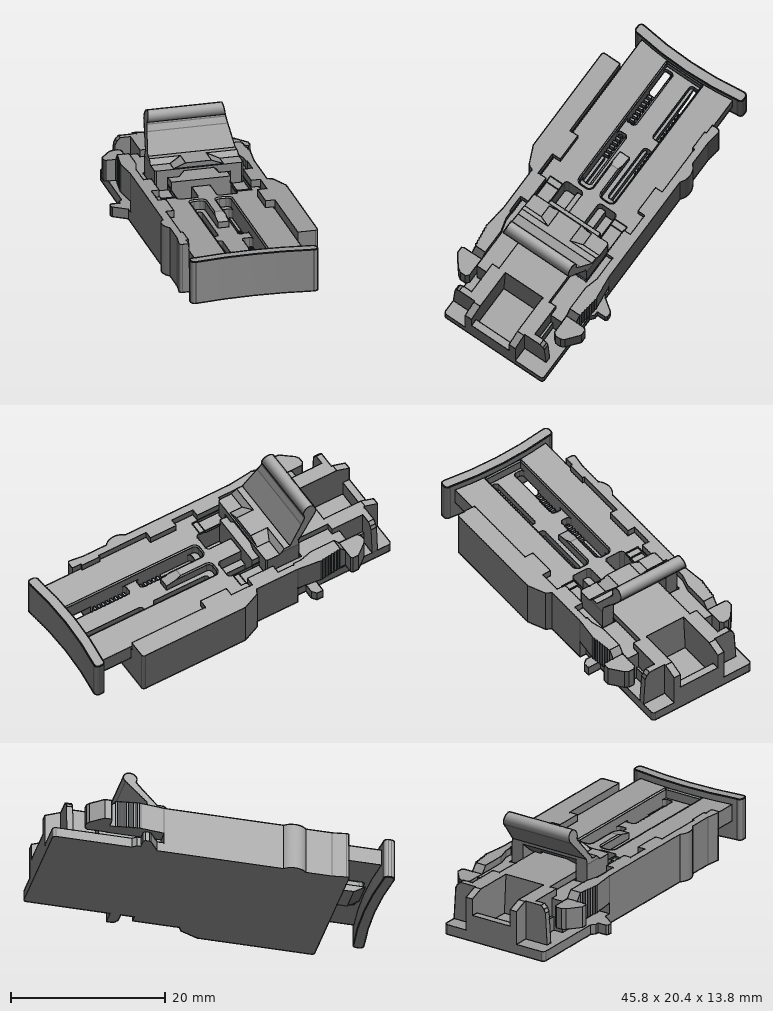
import cadquery as cq
import math

LENGTH = 45.75
HOUSING_END = 39.6
HOUSING_TOP = 6.75
SLAB_TOP = 5.8
SLAB_BOTTOM = 3.48
BASE_TOP = 1.35
ARM_BOTTOM = 2.9

BODY_START = 14.85
ARM_START = 7.6
SLAB_START = 6.5
ARM_BEND = 11.9
SLAB_HALF = 7.23
SLAB_FRONT_HALF = 6.72
WALL_SIDE = 8.32
FLANGE_SIDE = 10.15
WALL_CORNER = 0.35

CORE_HALF = 4.0
CORE_END = 19.1
RECEPTACLE_HALF = 2.97
PLATE_START = 2.1
PLATE_END = 2.95


def box(x0, x1, y0, y1, z0, z1):
    """Box between two corners."""
    return cq.Workplane("XY").box(x1 - x0, y1 - y0, z1 - z0, centered=False).translate((x0, y0, z0))


def prism(points, z0, z1):
    """Plan outline raised from z0 to z1."""
    return cq.Workplane("XY").workplane(offset=z0).polyline(points).close().extrude(z1 - z0)


def side_profile(points, half_width):
    """X-Z outline spread symmetrically across Y."""
    return cq.Workplane("XZ").polyline(points).close().extrude(half_width, both=True)


def end_profile(points, x0, x1):
    """Y-Z outline carried along X from x0 to x1."""
    return cq.Workplane("YZ").workplane(offset=x0).polyline(points).close().extrude(x1 - x0)


def both_sides(shape):
    """Shape on the +Y side together with its mirror image on the -Y side."""
    return shape.union(shape.mirror("XZ"))


BASE_PLUS_SIDE = 7.35
BASE_CORNER = 0.4
PLUS_TAB = [(11.6, 6.85), (11.6, 9.35), (12.55, 9.35), (13.05, 8.7), (13.05, 6.85)]
MINUS_TAB = [(10.45, -8.25), (11.1, -8.8), (11.6, -8.8), (11.6, -10.0), (11.85, -10.25),
             (12.4, -10.25), (12.65, -10.1), (14.0, -8.25)]


def make_base():
    plate = box(0, BODY_START, -WALL_SIDE, BASE_PLUS_SIDE, 0, BASE_TOP)
    plate = plate.edges("|Z and <X").fillet(BASE_CORNER)
    for tab in (PLUS_TAB, MINUS_TAB):
        plate = plate.union(prism(tab, 0, BASE_TOP))
    return plate


FLANGE_START = 21.15
FLANGE_FULL = 23.95
FLANGE_KNEE = (21.5, 9.05)
LOBE_START, LOBE_END = 30.85, 33.85
LOBE_TIP = -8.87
RELIEF_END = 37.32
RELIEF_SIDE = -8.2
REAR_SIDE = -8.5
TAB_SPANS = ((17.3, 21.22), (24.43, 28.35))
TAB_INNER = 6.17
GAP_WIDTH = 0.2
GAP_DEPTH = 0.45
REAR_TAB_START, REAR_TAB_END = 35.6, 38.3
REAR_TAB_INNER = -6.95


def make_housing():
    lobe_middle = (LOBE_START + LOBE_END) / 2
    outline = (
        cq.Workplane("XY")
        .moveTo(BODY_START, -WALL_SIDE)
        .lineTo(LOBE_START, -WALL_SIDE)
        .threePointArc((lobe_middle, LOBE_TIP), (LOBE_END, RELIEF_SIDE))
        .lineTo(RELIEF_END, RELIEF_SIDE)
        .lineTo(HOUSING_END, REAR_SIDE)
        .lineTo(HOUSING_END, FLANGE_SIDE)
        .lineTo(FLANGE_FULL, FLANGE_SIDE)
        .lineTo(*FLANGE_KNEE)
        .lineTo(FLANGE_START, WALL_SIDE)
        .lineTo(BODY_START, WALL_SIDE)
        .close()
    )
    housing = outline.extrude(HOUSING_TOP)
    housing = housing.edges("|Z and >X").fillet(WALL_CORNER)
    tray = box(BODY_START, HOUSING_END, -SLAB_HALF, SLAB_HALF, SLAB_TOP, HOUSING_TOP)
    gap_side = SLAB_HALF + GAP_WIDTH
    gap_bottom = SLAB_TOP - GAP_DEPTH
    gap = box(BODY_START, HOUSING_END, SLAB_HALF, gap_side, gap_bottom, HOUSING_TOP)
    housing = housing.cut(tray).cut(gap)
    for start, end in TAB_SPANS:
        tab = box(start, end, TAB_INNER, gap_side, gap_bottom, HOUSING_TOP)
        housing = housing.union(both_sides(tab))
    rear_tab = box(REAR_TAB_START, REAR_TAB_END, -SLAB_HALF, REAR_TAB_INNER, SLAB_TOP, HOUSING_TOP)
    return housing.union(rear_tab)


POST_CHAMFER_RUN = 1.9
POST_CHAMFER_DROP = 0.75
FRONT_BLOCK_HALF = 5.05
WALL_NOTCH_BOTTOM = 3.7
FRONT_WALL = 1.0
CAVITY_FLOOR = 1.2
CAVITY_DRAFT = 0.35
PLATE_HALF = 7.35
PLATE_TOP_HALF = 6.4
PLATE_SHOULDER = [(7.1, 5.8), (6.85, 6.3)]
LEDGE_TOP = 3.3
LEDGE_HALF = 5.35


def make_front():
    posts = side_profile(
        [(0, 0), (0, HOUSING_TOP - POST_CHAMFER_DROP), (POST_CHAMFER_RUN, HOUSING_TOP),
         (CORE_END, HOUSING_TOP), (CORE_END, 0)],
        CORE_HALF,
    )
    block = box(PLATE_START, ARM_START, -FRONT_BLOCK_HALF, FRONT_BLOCK_HALF, 0, HOUSING_TOP)
    plate = end_profile(
        [(0, 0), (PLATE_HALF, 0), (PLATE_HALF, BASE_TOP)] + PLATE_SHOULDER
        + [(PLATE_TOP_HALF, HOUSING_TOP), (0, HOUSING_TOP)],
        PLATE_START, PLATE_END,
    )
    plate = both_sides(plate)
    ledge = box(PLATE_END, ARM_START, -LEDGE_HALF, LEDGE_HALF, 0, LEDGE_TOP)
    slab = box(SLAB_START, BODY_START, -SLAB_FRONT_HALF, SLAB_FRONT_HALF, 0, SLAB_TOP)
    slab = slab.union(box(ARM_BEND, BODY_START, -SLAB_HALF, SLAB_HALF, ARM_BOTTOM, SLAB_TOP))
    front = posts.union(block).union(plate).union(ledge).union(slab)

    cavity = side_profile(
        [(0, HOUSING_TOP), (0, WALL_NOTCH_BOTTOM), (FRONT_WALL, WALL_NOTCH_BOTTOM),
         (FRONT_WALL, CAVITY_FLOOR), (ARM_START - CAVITY_DRAFT, CAVITY_FLOOR), (ARM_START, HOUSING_TOP)],
        RECEPTACLE_HALF,
    )
    return front.cut(cavity)


RIDGE_COUNT = 7
RIDGES_START, RIDGES_END = 8.35, 11.65
RIDGE_HEIGHT = 0.15
ARM_SIDE = 8.3
ARM_PEAK = 8.7
ARM_BEND_END = 13.7
ARM_TIP_SLOPE = 0.8
LATCH_OUTLINE = [(4.55, 7.2), (4.55, 7.95), (4.85, 8.45), (6.55, 9.85), (7.4, 9.85),
                 (ARM_START, 9.55), (ARM_START, 6.75), (4.9, 6.75)]


def arm_outline():
    """Plan outline of the +Y arm, with saw-tooth ridges on its outer face."""
    points = [(ARM_START, SLAB_FRONT_HALF), (ARM_START, ARM_SIDE)]
    pitch = (RIDGES_END - RIDGES_START) / RIDGE_COUNT
    rise = (ARM_PEAK - ARM_SIDE) / RIDGE_COUNT
    for i in range(RIDGE_COUNT):
        x = RIDGES_START + i * pitch
        y = ARM_SIDE + i * rise
        points.append((x, y))
        points.append((x + pitch / 2, y + RIDGE_HEIGHT))
    points += [(RIDGES_END, ARM_PEAK), (BODY_START, WALL_SIDE),
               (BODY_START, SLAB_HALF), (ARM_BEND_END, SLAB_HALF), (ARM_BEND, SLAB_FRONT_HALF)]
    return points


def make_arms():
    tip_cut = side_profile(
        [(ARM_START, SLAB_TOP), (ARM_START, HOUSING_TOP), (ARM_START + ARM_TIP_SLOPE, HOUSING_TOP)],
        2 * ARM_PEAK,
    )
    arm = prism(arm_outline(), ARM_BOTTOM, HOUSING_TOP).cut(tip_cut)
    latch = prism(LATCH_OUTLINE, ARM_BOTTOM, SLAB_TOP)
    return both_sides(arm.union(latch))


RIB_HALF = 1.75
RIB_BOTTOM = 2.5
RIB_SLOPE_START, RIB_SLOPE_END = 41.9, 43.45
TAIL_OVERLAP = 0.45
END_PLATE_BOTTOM = 0.85
END_PLATE_HALF = 8.55
END_PLATE_BOW = 0.6
END_PLATE_THICKNESS = 1.45
END_PLATE_FLAT = 0.7
END_PLATE_CORNER = 0.55
END_PLATE_CHAMFER = 0.1


def make_tail():
    start = HOUSING_END - TAIL_OVERLAP
    front = LENGTH - END_PLATE_THICKNESS
    tail = box(start, front, -SLAB_HALF, SLAB_HALF, SLAB_BOTTOM, SLAB_TOP)
    rib = side_profile(
        [(start, SLAB_BOTTOM), (start, RIB_BOTTOM),
         (RIB_SLOPE_START, RIB_BOTTOM), (RIB_SLOPE_END, SLAB_BOTTOM)],
        RIB_HALF,
    )
    bow_half = END_PLATE_HALF - END_PLATE_FLAT
    plate = (
        cq.Workplane("XY")
        .workplane(offset=END_PLATE_BOTTOM)
        .moveTo(front, -bow_half)
        .threePointArc((front - END_PLATE_BOW, 0), (front, bow_half))
        .lineTo(front, END_PLATE_HALF)
        .lineTo(LENGTH, END_PLATE_HALF)
        .lineTo(LENGTH, bow_half)
        .threePointArc((LENGTH - END_PLATE_BOW, 0), (LENGTH, -bow_half))
        .lineTo(LENGTH, -END_PLATE_HALF)
        .lineTo(front, -END_PLATE_HALF)
        .close()
        .extrude(HOUSING_TOP - END_PLATE_BOTTOM)
    )
    corners = plate.faces("<Y or >Y").edges("|Z")
    plate = corners.fillet(END_PLATE_CORNER).faces("<Z or >Z").chamfer(END_PLATE_CHAMFER)
    return tail.union(rib).union(plate)


RECESS_START, RECESS_END = 23.5, 43.5
RECESS_HALF = 2.75
RECESS_CHAMFER = 0.2
RECESS_FLOOR = 4.45
RECESS_CORNER = 0.6
TONGUE_HALF = 0.75
TONGUE_END = 30.2
TONGUE_RAMP = 27.9
TONGUE_TIP_HEIGHT = 5.25
SLOT_SPANS = ((24.4, 32.75), (34.35, 43.15))
SLOT_INNER, SLOT_OUTER = 1.33, RECESS_HALF
SLOT_CORNER = 0.4
SLOT_BOTTOM = 2.3
RACK_INNER = 2.35
TOOTH_INNER = 2.1
RACK_TOP = 3.2
RACK_TEETH_START = 29.05
TOOTH_PITCH = 0.65


def make_recess():
    """E-shaped recess around the tongue, with a bevelled rim and a ramp on the tongue tip."""
    recess = prism(
        [(RECESS_START, RECESS_HALF), (RECESS_END, RECESS_HALF), (RECESS_END, -RECESS_HALF),
         (RECESS_START, -RECESS_HALF), (RECESS_START, -TONGUE_HALF), (TONGUE_END, -TONGUE_HALF),
         (TONGUE_END, TONGUE_HALF), (RECESS_START, TONGUE_HALF)],
        RECESS_FLOOR, SLAB_TOP - RECESS_CHAMFER,
    )
    recess = recess.edges("|Z and <X").fillet(RECESS_CORNER)
    rim = recess.faces(">Z").wires().toPending().extrude(RECESS_CHAMFER, combine=False, taper=-45)
    ramp = side_profile(
        [(TONGUE_RAMP, SLAB_TOP), (TONGUE_END, SLAB_TOP), (TONGUE_END, TONGUE_TIP_HEIGHT)],
        TONGUE_HALF,
    )
    return recess.union(rim).union(ramp)


def make_slots():
    """Slots beside the central rib; each narrows below the slab where the rib stays."""
    rib = box(RECESS_START, RECESS_END, 0, RIB_HALF, 0, SLAB_BOTTOM)
    slots = cq.Workplane("XY")
    for start, end in SLOT_SPANS:
        slot = box(start, end, SLOT_INNER, SLOT_OUTER, SLOT_BOTTOM, SLAB_TOP)
        slots = slots.add(slot.edges("|Z").fillet(SLOT_CORNER).cut(rib))
    return both_sides(slots.combine())


def make_racks():
    """Toothed ledges along the outer side of the slots, inside the housing."""
    count = int((HOUSING_END - RACK_TEETH_START) / TOOTH_PITCH)
    rack = box(SLOT_SPANS[0][0], RACK_TEETH_START, RACK_INNER, SLOT_OUTER, SLOT_BOTTOM, RACK_TOP)
    for i in range(1, count + 1):
        tooth_end = RACK_TEETH_START + i * TOOTH_PITCH
        tooth_start = tooth_end - TOOTH_PITCH / 2
        rack = rack.union(box(tooth_start, tooth_end, TOOTH_INNER, SLOT_OUTER, SLOT_BOTTOM, RACK_TOP))
    return both_sides(rack)


POCKET_START, POCKET_END = CORE_END, 22.75
POCKET_INNER = 1.25
POCKET_OUTER = 4.05
POCKET_BOTTOM = 2.3
POCKET_STEP = 2.25
POCKET_STEP_TOP = 4.1
POCKET_CORNER = 0.45
GROOVE_INNER, GROOVE_OUTER = 4.1, 6.1
GROOVE_START, GROOVE_STEP, GROOVE_END = 12.9, 21.22, 22.1
GROOVE_DEPTH = 0.45


def make_pockets():
    pocket = box(POCKET_START, POCKET_END, POCKET_INNER, POCKET_OUTER, POCKET_BOTTOM, SLAB_TOP)
    pocket = pocket.edges("|Z and >X").fillet(POCKET_CORNER)
    strip = box(POCKET_START, POCKET_END, POCKET_INNER, POCKET_STEP, POCKET_BOTTOM, POCKET_STEP_TOP)
    pocket = pocket.cut(strip)
    groove_floor = SLAB_TOP - GROOVE_DEPTH
    step_floor = SLAB_TOP - GROOVE_DEPTH / 2
    groove = box(GROOVE_START, GROOVE_STEP, GROOVE_INNER, GROOVE_OUTER, groove_floor, SLAB_TOP)
    step = box(GROOVE_STEP, GROOVE_END, GROOVE_INNER, GROOVE_OUTER, step_floor, SLAB_TOP)
    return both_sides(pocket).union(both_sides(groove.union(step)))


LEVER_TOP = 13.75
LEVER_START, LEVER_END = 13.2, 18.2
LEVER_HALF = 5.95
LEVER_TOP_HALF = 5.05
LEG_INNER = 4.2
TAPER_START = 8.35
LEG_FRONT_TOP = 9.05
LEG_CORNER = 0.25
DECK_START = 16.15
LEVER_DECK = 8.15
HANDLE_RADIUS = 0.9
HANDLE_X = 11.1
NECK = [(12.0, 12.15), (12.55, 11.4)]
NECK_END = 14.55
HUMP_TOP = 8.8
HUMP_TOP_HALF, HUMP_HALF = 1.75, 3.35
HUMP_START, HUMP_END = 15.4, 17.98
WEB_FRONT_TOP = 8.65
WEB_SLOPE_END = 15.1
WEB_BOTTOM = 7.05
ARCH_TOP = 7.8
ARCH_TOP_HALF, ARCH_HALF = 2.0, 2.7


def make_lever():
    handle_z = LEVER_TOP - HANDLE_RADIUS
    lean = HANDLE_RADIUS * math.sqrt(0.5)
    legs = side_profile(
        [(LEVER_START, SLAB_TOP - GROOVE_DEPTH), (LEVER_START, LEG_FRONT_TOP),
         (HANDLE_X - lean, handle_z - lean), (HANDLE_X + lean, handle_z), *NECK, (NECK_END, HUMP_TOP),
         (HUMP_START, HUMP_TOP), (DECK_START, LEVER_DECK), (LEVER_END, LEVER_DECK),
         (LEVER_END, SLAB_TOP - GROOVE_DEPTH)],
        LEVER_HALF,
    )
    legs = legs.edges("|Z and >X").chamfer(LEG_CORNER)
    handle = cq.Workplane("XZ").center(HANDLE_X, handle_z).circle(HANDLE_RADIUS)
    handle = handle.extrude(LEVER_HALF, both=True)
    lever = legs.union(handle)
    opening = side_profile(
        [(LEVER_START, 0), (LEVER_START, WEB_FRONT_TOP), (WEB_SLOPE_END, WEB_BOTTOM),
         (LEVER_END, WEB_BOTTOM), (LEVER_END, 0)],
        LEG_INNER,
    )
    arch = end_profile(
        [(-ARCH_HALF, WEB_BOTTOM), (-ARCH_TOP_HALF, ARCH_TOP),
         (ARCH_TOP_HALF, ARCH_TOP), (ARCH_HALF, WEB_BOTTOM)],
        LEVER_START, LEVER_END,
    )
    hump = end_profile(
        [(-HUMP_HALF, LEVER_DECK), (-HUMP_TOP_HALF, HUMP_TOP),
         (HUMP_TOP_HALF, HUMP_TOP), (HUMP_HALF, LEVER_DECK)],
        HUMP_START, HUMP_END,
    )
    taper = end_profile(
        [(-LEVER_HALF, 0), (-LEVER_HALF, TAPER_START), (-LEVER_TOP_HALF, LEVER_TOP),
         (LEVER_TOP_HALF, LEVER_TOP), (LEVER_HALF, TAPER_START), (LEVER_HALF, 0)],
        0, LENGTH,
    )
    return lever.union(hump).cut(opening).cut(arch).intersect(taper)


body = make_base().union(make_housing()).union(make_front()).union(make_arms()).union(make_tail())
body = body.cut(make_recess()).cut(make_slots()).union(make_racks()).cut(make_pockets())
result = body.union(make_lever())